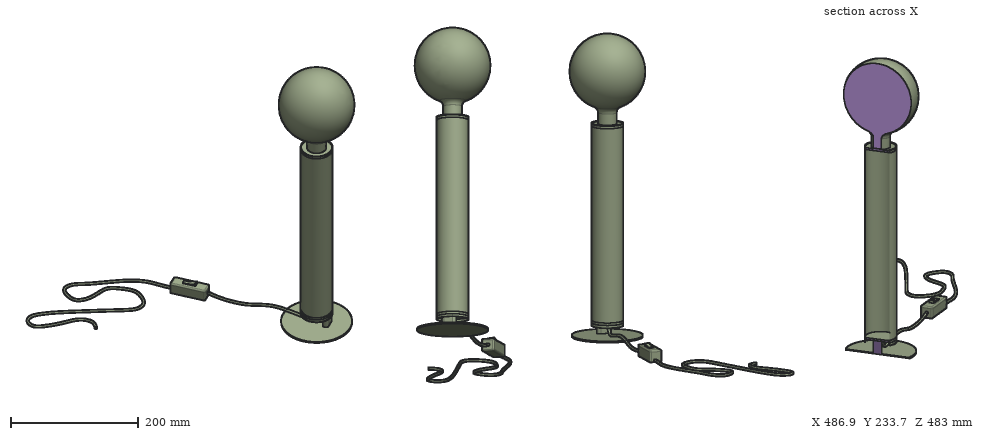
import cadquery as cq
import math


height = 483.0
bulb_radius = 60.0
neck_radius = 15.0
neck_flare_radius = 9.5

tube_radius = 25.5
tube_wall = 1.0
tube_bottom = 17.5
tube_top = 341.0
end_plate_thickness = 4.0
top_recess = 1.0
bottom_recess = 4.5
tube_floor = tube_bottom + bottom_recess
tube_ceiling = tube_top - top_recess

base_radius = 56.0
base_thickness = 2.5
post_depth = 9.5
post_width = 23.5
post_rim_gap = 1.5
post_x = tube_radius - tube_wall - post_rim_gap - post_depth / 2

switch_length = 59.5
switch_width = 20.5
switch_height = 20.0
switch_edge_radius = 2.5
switch_x = -213.0
switch_y = -1.0
switch_left = switch_x - switch_length / 2
switch_right = switch_x + switch_length / 2
rocker_length = 21.5
rocker_width = 8.0
rocker_low = 1.0
rocker_middle = 1.5
rocker_high = 4.5

cord_radius = 2.2
floor_cord_z = 3.5

floor_cord_path = [
    (-262.0, 0.5),
    (-283.0, 1.5),
    (-308.5, -4.5),
    (-342.7, -21.5),
    (-377.0, -39.5),
    (-396.0, -51.0),
    (-399.5, -60.5),
    (-389.5, -76.5),
    (-372.0, -83.3),
    (-360.0, -76.5),
    (-347.5, -57.0),
    (-335.5, -36.0),
    (-318.5, -30.0),
    (-294.0, -29.0),
    (-276.5, -42.5),
    (-269.5, -55.5),
    (-271.5, -66.5),
    (-292.5, -82.0),
    (-318.5, -93.0),
    (-370.0, -116.0),
    (-409.0, -136.5),
    (-424.5, -154.0),
    (-422.5, -164.0),
    (-410.5, -171.5),
    (-394.5, -165.5),
    (-367.0, -144.0),
    (-344.0, -128.0),
    (-326.5, -129.5),
    (-317.0, -141.5),
]

lamp_cord_start_z = 9.5
lamp_cord_path = [
    (-158.5, 4.5),
    (-137.0, 3.0),
    (-115.0, 4.5),
    (-90.5, 9.5),
    (-68.5, 12.0),
    (-47.0, 9.5),
    (-25.5, 6.0),
    (-14.0, 6.5),
    (-4.5, 15.5),
]


def make_bulb():
    """Globe blended into a straight neck by a concave flare."""
    globe_z = height - bulb_radius
    flare_x = neck_radius + neck_flare_radius
    centre_distance = bulb_radius + neck_flare_radius
    flare_z = globe_z - math.sqrt(centre_distance**2 - flare_x**2)
    tangent_ratio = bulb_radius / centre_distance
    tangent_x = flare_x * tangent_ratio
    tangent_z = globe_z + (flare_z - globe_z) * tangent_ratio
    tangent_angle = math.atan2(tangent_z - flare_z, tangent_x - flare_x)
    middle_angle = (math.pi + tangent_angle) / 2
    flare_middle = (
        flare_x + neck_flare_radius * math.cos(middle_angle),
        flare_z + neck_flare_radius * math.sin(middle_angle),
    )
    return (
        cq.Workplane("XZ")
        .moveTo(0, tube_ceiling)
        .lineTo(neck_radius, tube_ceiling)
        .lineTo(neck_radius, flare_z)
        .threePointArc(flare_middle, (tangent_x, tangent_z))
        .threePointArc((bulb_radius, globe_z), (0, height))
        .close()
        .revolve(360, (0, 0, 0), (0, 1, 0))
    )


def make_tube():
    """Thin-walled tube closed by a plate set slightly inside each end."""
    bore_radius = tube_radius - tube_wall
    cavity_bottom = tube_floor + end_plate_thickness
    cavity_top = tube_ceiling - end_plate_thickness
    tube = cq.Workplane("XY", origin=(0, 0, tube_bottom)).circle(tube_radius).extrude(tube_top - tube_bottom)
    hollow_spans = [
        (tube_bottom, tube_floor),
        (cavity_bottom, cavity_top),
        (tube_ceiling, tube_top),
    ]
    for bottom, top in hollow_spans:
        hollow = cq.Workplane("XY", origin=(0, 0, bottom)).circle(bore_radius).extrude(top - bottom)
        tube = tube.cut(hollow)
    return tube


def make_post():
    """Round-ended post reaching up inside the lower rim to the bottom plate."""
    return cq.Workplane("XY").center(post_x, 0).slot2D(post_width, post_depth, 90).extrude(tube_floor)


def make_base():
    return cq.Workplane("XY").circle(base_radius).extrude(base_thickness).union(make_post())


def make_switch_housing():
    return (
        cq.Workplane("XY")
        .center(switch_x, switch_y)
        .rect(switch_length, switch_width)
        .extrude(switch_height)
        .edges()
        .fillet(switch_edge_radius)
    )


def make_rocker():
    """Rocker with a concave top that rises toward +X, resting on the housing."""
    half_length = rocker_length / 2
    return (
        cq.Workplane("XZ", origin=(switch_x, 0, switch_height))
        .moveTo(-half_length, 0)
        .lineTo(half_length, 0)
        .lineTo(half_length, rocker_high)
        .threePointArc((0, rocker_middle), (-half_length, rocker_low))
        .close()
        .extrude(rocker_width / 2, both=True)
    )


def sweep_cord(points, start_direction, end_direction):
    """Round cord along a smooth curve with the given end directions."""
    vectors = [cq.Vector(*point) for point in points]
    tangents = [cq.Vector(*start_direction), cq.Vector(*end_direction)]
    path = cq.Workplane("XY").newObject([cq.Edge.makeSpline(vectors, tangents=tangents)])
    section = cq.Plane(origin=points[0], normal=start_direction)
    return cq.Workplane(section).circle(cord_radius).sweep(path)


def make_floor_cord():
    points = [(switch_left, 0, floor_cord_z)]
    points += [(x, y, floor_cord_z) for x, y in floor_cord_path]
    return sweep_cord(points, (-1, 0, 0), (0.5, -0.8, 0))


def make_lamp_cord():
    points = [(switch_right, 0, lamp_cord_start_z)]
    points += [(x, 0, z) for x, z in lamp_cord_path]
    points.append((0, 0, tube_floor))
    cord = sweep_cord(points, (1, 0, -0.3), (0, 0, 1))
    return cord.cut(make_switch_housing())


bulb = make_bulb()
tube = make_tube()
base = make_base()
switch_housing = make_switch_housing()
rocker = make_rocker()
floor_cord = make_floor_cord()
lamp_cord = make_lamp_cord()

result = cq.Compound.makeCompound([
    bulb.val(),
    tube.val(),
    base.val(),
    switch_housing.val(),
    rocker.val(),
    *floor_cord.vals(),
    *lamp_cord.vals(),
])